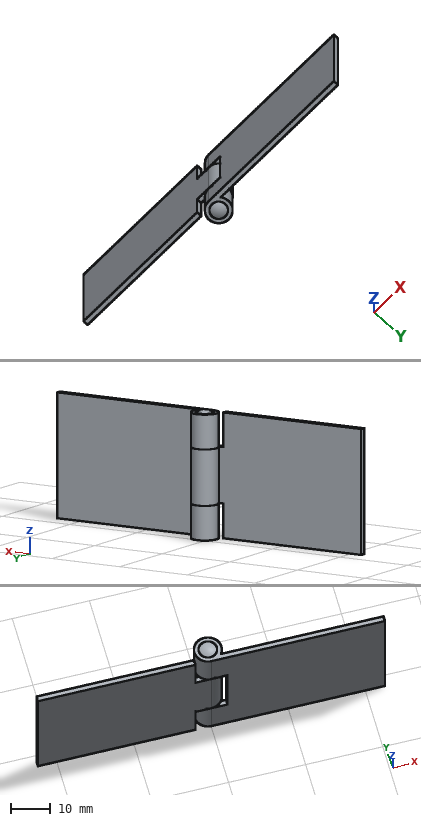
import cadquery as cq

hinge_width = 90.0
leaf_height = 32.1
leaf_thickness = 1.4
knuckle_diameter = 7.0
pin_diameter = 4.7
pin_length = 33.6
middle_knuckle_height = 14.4
notch_reach = 4.1

knuckle_radius = knuckle_diameter / 2
pin_radius = pin_diameter / 2
leaf_reach = hinge_width / 2
dome_height = (pin_length - leaf_height) / 2
end_knuckle_height = (leaf_height - middle_knuckle_height) / 2
end_knuckle_bottoms = (-leaf_height / 2, middle_knuckle_height / 2)
middle_knuckle_bottom = -middle_knuckle_height / 2


def plate(side, inner_reach, bottom, height):
    """Flat plate from inner_reach to the outer leaf edge, side -1 for -X or +1 for +X."""
    length = leaf_reach - inner_reach
    center_x = side * (leaf_reach + inner_reach) / 2
    center_y = -knuckle_radius + leaf_thickness / 2
    return (
        cq.Workplane("XY", origin=(center_x, center_y, bottom))
        .rect(length, leaf_thickness)
        .extrude(height)
    )


def cylinder(radius, bottom, height):
    """Cylinder on the hinge axis."""
    return cq.Workplane("XY", origin=(0, 0, bottom)).circle(radius).extrude(height)


def make_leaf(side, knuckle_bottoms, knuckle_height):
    """Leaf whose plate runs tangentially into each knuckle, bored for the pin."""
    leaf = plate(side, notch_reach, -leaf_height / 2, leaf_height)
    for bottom in knuckle_bottoms:
        leaf = leaf.union(plate(side, 0, bottom, knuckle_height))
        leaf = leaf.union(cylinder(knuckle_radius, bottom, knuckle_height))
    return leaf.cut(cylinder(pin_radius, -leaf_height / 2, leaf_height)).solids()


def make_pin():
    """Straight pin with a shallow spherical dome at each end, revolved about Z."""
    sphere_radius = (pin_radius**2 + dome_height**2) / (2 * dome_height)
    mid_radius = pin_radius / 2
    mid_rise = dome_height - sphere_radius + (sphere_radius**2 - mid_radius**2) ** 0.5
    shoulder_z = leaf_height / 2
    return (
        cq.Workplane("XZ")
        .moveTo(0, -pin_length / 2)
        .threePointArc((mid_radius, -shoulder_z - mid_rise), (pin_radius, -shoulder_z))
        .lineTo(pin_radius, shoulder_z)
        .threePointArc((mid_radius, shoulder_z + mid_rise), (0, pin_length / 2))
        .close()
        .revolve(360, (0, 0, 0), (0, 1, 0))
    )


middle_knuckle_leaf = make_leaf(-1, [middle_knuckle_bottom], middle_knuckle_height)
end_knuckle_leaf = make_leaf(1, end_knuckle_bottoms, end_knuckle_height)
pin = make_pin()

result = cq.Compound.makeCompound([middle_knuckle_leaf.val(), end_knuckle_leaf.val(), pin.val()])